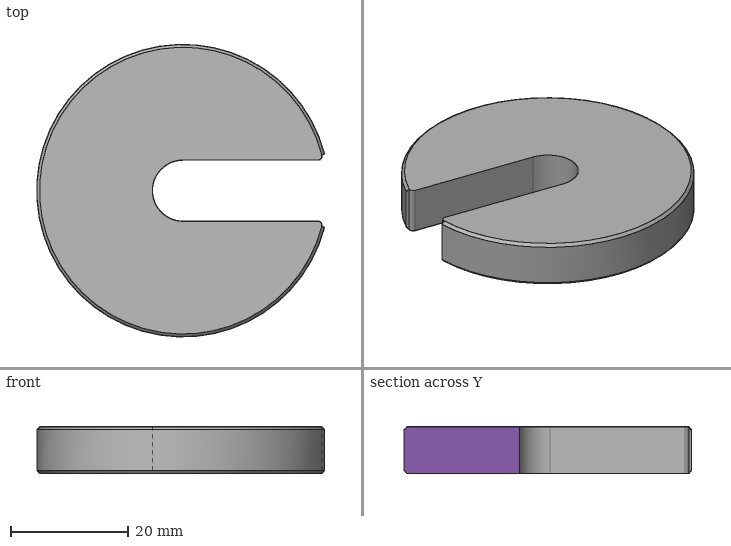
import cadquery as cq
import math

disc_diameter = 49.95
thickness = 8.0
rim_chamfer = 0.5
slot_width = 10.4
lip_radius = 0.7
tip_reach = 24.15

disc_radius = disc_diameter / 2
face_radius = disc_radius - rim_chamfer
slot_radius = slot_width / 2

lip_center_y = slot_radius + lip_radius
lip_center_x = math.sqrt((face_radius - lip_radius) ** 2 - lip_center_y ** 2)
lip_angle = math.atan2(lip_center_y, lip_center_x)
tip_y = math.sqrt(disc_radius ** 2 - tip_reach ** 2)


def lip_point(angle):
    """Point on the upper lip arc at an angle from +X."""
    return (
        lip_center_x + lip_radius * math.cos(angle),
        lip_center_y + lip_radius * math.sin(angle),
    )


def mirrored(point):
    """The same point on the other side of the slot."""
    x, y = point
    return (x, -y)


def chamfered_disc():
    """Round blank with both rims chamfered."""
    blank = cq.Workplane("XY").circle(disc_radius).extrude(thickness)
    return blank.faces("<Z or >Z").edges().chamfer(rim_chamfer)


def open_slot():
    """Slot with a round end on the disc axis and a flared mouth towards +X."""
    wall_angle = -math.pi / 2
    wall_end = lip_point(wall_angle)
    lip_middle = lip_point((wall_angle + lip_angle) / 2)
    lip_end = lip_point(lip_angle)
    tip = (tip_reach, tip_y)
    return (
        cq.Workplane("XY")
        .moveTo(0, -slot_radius)
        .threePointArc((-slot_radius, 0), (0, slot_radius))
        .lineTo(*wall_end)
        .threePointArc(lip_middle, lip_end)
        .lineTo(*tip)
        .lineTo(disc_radius, tip_y)
        .lineTo(disc_radius, -tip_y)
        .lineTo(*mirrored(tip))
        .lineTo(*mirrored(lip_end))
        .threePointArc(mirrored(lip_middle), mirrored(wall_end))
        .close()
        .extrude(thickness)
    )


result = chamfered_disc().cut(open_slot())